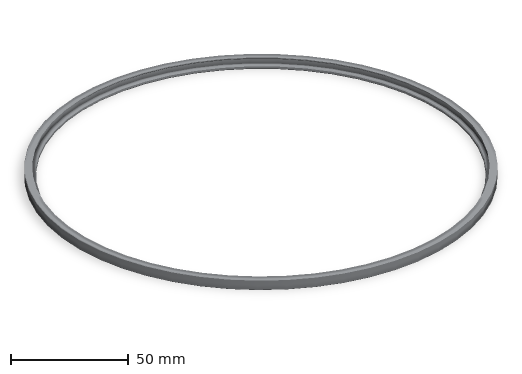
import cadquery as cq

outer_diameter = 201.0
groove_diameter = 195.0
lip_diameter = 191.0
ring_height = 4.8
outer_chamfer = 0.2
rim_overhang = 0.5
rim_height = 0.5
rim_slope = 0.5
lip_height = 1.8
lip_chamfer = 0.5

outer_radius = outer_diameter / 2
groove_radius = groove_diameter / 2
lip_radius = lip_diameter / 2
rim_radius = groove_radius - rim_overhang
rim_bottom = ring_height - rim_height

section = [
    (lip_radius + lip_chamfer, 0),
    (lip_radius, lip_chamfer),
    (lip_radius, lip_height - lip_chamfer),
    (lip_radius + lip_chamfer, lip_height),
    (groove_radius, lip_height),
    (groove_radius, rim_bottom - rim_slope),
    (rim_radius, rim_bottom),
    (rim_radius, ring_height),
    (outer_radius - outer_chamfer, ring_height),
    (outer_radius, ring_height - outer_chamfer),
    (outer_radius, outer_chamfer),
    (outer_radius - outer_chamfer, 0),
]

result = cq.Workplane("XZ").polyline(section).close().revolve(360, (0, 0, 0), (0, 1, 0))